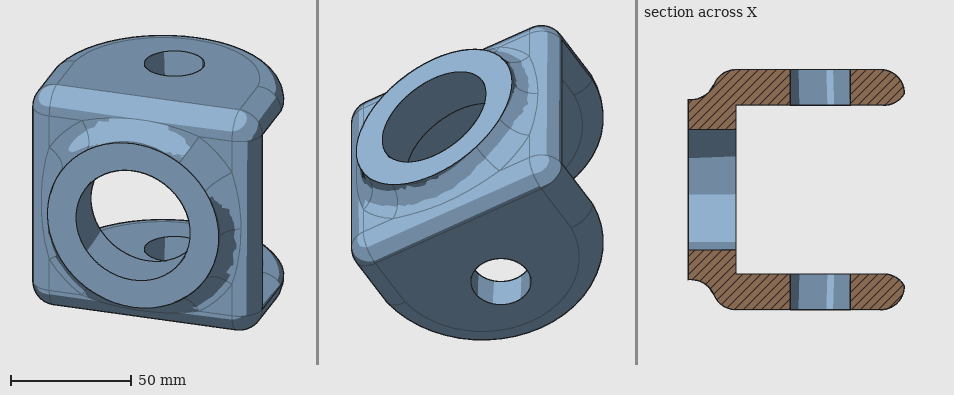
import cadquery as cq
import math

width = 100.0
height = 100.0
half_width = width / 2
half_height = height / 2
arc_rise = 45.0
arc_radius = (half_width**2 + arc_rise**2) / (2 * arc_rise)
arc_center_y = arc_rise - arc_radius
front_y = -35.0
plate_thickness = 10.0
ear_thickness = 15.0
edge_radius = 10.0

pin_diameter = 25.0
pin_y = 10.0

boss_diameter = 75.0
bore_diameter = 50.0
boss_height = 10.0
boss_fillet = 10.0

construction_margin = 30.0
root_tolerance = 1.0

plate_back_y = front_y + plate_thickness
boss_face_y = front_y - boss_height
ear_gap = height - 2 * ear_thickness

crease_height = ear_thickness - edge_radius
inner_rim_width = math.sqrt(edge_radius**2 - (edge_radius - crease_height) ** 2)
rim_overhang = edge_radius - inner_rim_width


def arch_prism(overhang, base_z, prism_height):
    """Prism with a semicircular back and sides that run on past the body's front."""
    radius = arc_radius + overhang
    start_y = front_y - construction_margin
    return (
        cq.Workplane("XY", origin=(0, 0, base_z))
        .moveTo(-radius, start_y)
        .lineTo(radius, start_y)
        .lineTo(radius, arc_center_y)
        .threePointArc((0, arc_center_y + radius), (-radius, arc_center_y))
        .close()
        .extrude(prism_height)
    )


def straight_prism(overhang, start_y, base_z, prism_height):
    """Square-cornered prism from start_y to past the body's back."""
    length = arc_rise + construction_margin - start_y
    side_x = half_width + overhang
    prism = cq.Workplane("XY").box(2 * side_x, length, prism_height, centered=(True, False, False))
    return prism.translate((0, start_y, base_z))


def rounded_block():
    """D-shaped block with rounded front corners, top and bottom rims."""
    arch = arch_prism(0, -half_height, height)
    arch = arch.faces("|Z").edges("not(<Y)").fillet(edge_radius)
    sides = straight_prism(0, front_y, -half_height, height)
    front_corners = sides.edges("|Z").edges("<Y").vals()
    rims = sides.faces("|Z").edges("not(>Y)").vals()
    sides = sides.newObject(front_corners + rims).fillet(edge_radius)
    return sides.intersect(arch)


def ear_envelope():
    """Limits of the upper ear, with its inner rim rounded off below."""
    base_z = ear_gap / 2
    arch = arch_prism(rim_overhang, base_z, height)
    arch = arch.faces("<Z").edges("not(<Y)").fillet(edge_radius)
    sides = straight_prism(rim_overhang, plate_back_y, base_z, height)
    sides = sides.faces("<Z").edges("|Y").fillet(edge_radius)
    return sides.intersect(arch)


def hollow_out(block):
    """Reduce the block to its front plate and two ears."""
    plate_limits = cq.Workplane("XY").box(width, plate_thickness, height, centered=(True, False, True))
    plate = block.intersect(plate_limits.translate((0, front_y, 0)))
    envelope = ear_envelope()
    upper_ear = block.intersect(envelope)
    lower_ear = block.intersect(envelope.mirror("XY"))
    return plate.union(upper_ear).union(lower_ear)


def add_boss(clevis):
    """Blend an overlong boss into the rounded plate, then trim it to its face."""
    overlong_y = boss_face_y - construction_margin
    boss = (
        cq.Workplane("XZ", origin=(0, plate_back_y, 0))
        .circle(boss_diameter / 2)
        .extrude(plate_back_y - overlong_y)
    )
    joined = clevis.union(boss)
    reach = boss_diameter / 2 + root_tolerance
    root = cq.selectors.BoxSelector(
        (-reach, front_y - root_tolerance, -reach),
        (reach, front_y + root_tolerance, reach),
        boundingbox=True,
    )
    blended = joined.edges(root).fillet(boss_fillet)
    surplus = cq.Workplane("XY").box(width, construction_margin, height, centered=(True, False, True))
    return blended.cut(surplus.translate((0, overlong_y, 0)))


def drill(clevis):
    """Bore the boss and plate, and drill both ears."""
    bore = (
        cq.Workplane("XZ", origin=(0, plate_back_y, 0))
        .circle(bore_diameter / 2)
        .extrude(plate_back_y - boss_face_y)
    )
    pin = (
        cq.Workplane("XY", origin=(0, pin_y, -half_height))
        .circle(pin_diameter / 2)
        .extrude(height)
    )
    return clevis.cut(bore).cut(pin)


result = drill(add_boss(hollow_out(rounded_block())))